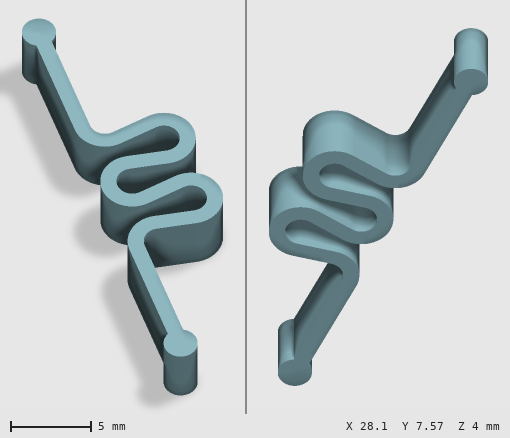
import cadquery as cq
import math

length = 28.1
height = 4.0
thickness = 1.0
bend_radius = 1.5
bend_pitch = 2.5
bend_rise = 3.0
bead_radius = 1.07

bead_x = length / 2 - bead_radius

center_distance = math.hypot(bend_pitch, bend_rise)
leg_angle = math.atan2(bend_rise, bend_pitch) - math.acos(2 * bend_radius / center_distance)

lower_y = bend_radius
upper_y = bend_radius + bend_rise
down = -math.pi / 2
up = math.pi / 2

bends = [
    (-2 * bend_pitch, lower_y, down, leg_angle, True),
    (-bend_pitch, upper_y, math.pi + leg_angle, -leg_angle, False),
    (0, lower_y, math.pi - leg_angle, 2 * math.pi + leg_angle, True),
    (bend_pitch, upper_y, math.pi + leg_angle, -leg_angle, False),
    (2 * bend_pitch, lower_y, math.pi - leg_angle, 2 * math.pi + down, True),
]


def add_strip_edge(outline, offset, direction):
    """Trace one strip edge, offset to the left of the +X centerline.

    The strip is symmetric in X, so direction -1 traces it from +X to -X.
    """
    for center_x, center_y, start, end, turns_left in bends:
        radius = bend_radius - offset if turns_left else bend_radius + offset
        start_point, mid_point, end_point = [
            (direction * (center_x + radius * math.cos(angle)), center_y + radius * math.sin(angle))
            for angle in (start, (start + end) / 2, end)
        ]
        outline = outline.lineTo(*start_point).threePointArc(mid_point, end_point)
    return outline.lineTo(direction * bead_x, offset)


half_wall = thickness / 2
outline = cq.Workplane("XY").moveTo(-bead_x, -half_wall)
outline = add_strip_edge(outline, -half_wall, 1)
outline = outline.lineTo(bead_x, half_wall)
outline = add_strip_edge(outline, half_wall, -1)
strip = outline.close().extrude(height)

beads = cq.Workplane("XY").pushPoints([(-bead_x, 0), (bead_x, 0)]).circle(bead_radius).extrude(height)

result = strip.union(beads)